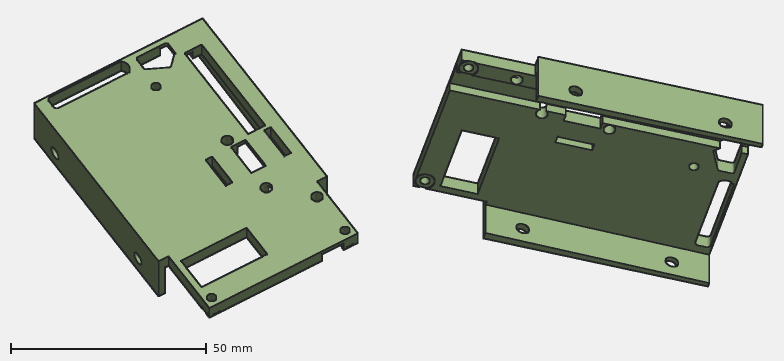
import cadquery as cq

LENGTH = 79.5
WIDTH = 51.0
HEIGHT = 15.0
PLATE = 4.1
BODY_LENGTH = 59.9
TAB_WIDTH = 45.0

WALL_THIN = 1.3
WALL_THICK = 2.0
SIDE_HOLE_DIAMETER = 3.4
SIDE_HOLE_XS = (10.0, 49.9)
SIDE_HOLE_Z = 4.9

CHANNEL_Y_MIN = 11.7
CHANNEL_Y_MAX = 18.2
CHANNEL_ROOF = 1.35

CONNECTOR_X_MIN = 38.8
CONNECTOR_X_MAX = 48.6
WINDOWS = (
    (7.0, 37.6, 15.7, 20.8),
    (CONNECTOR_X_MIN, CONNECTOR_X_MAX, 19.7, 21.7),
    (CONNECTOR_X_MIN, CONNECTOR_X_MAX, 9.7, 14.1),
    (CONNECTOR_X_MIN, CONNECTOR_X_MAX, 2.0, 4.0),
    (62.8, 72.75, -20.6, -0.7),
)

SMALL_HOLE_DIAMETER = 2.5
LARGE_HOLE_DIAMETER = 3.0
CORNER_X = 76.95
CORNER_Y = 20.2
CORNER_HOLES = ((CORNER_X, CORNER_Y), (CORNER_X, -CORNER_Y))
SMALL_HOLES = ((12.2, 3.7),) + CORNER_HOLES
LARGE_HOLES = ((36.5, 10.0), (54.6, 10.4), (64.0, 19.9))

RECESS_DIAMETER = 4.9
RECESS_DEPTH = 0.3

POCKET_X_MIN = 1.7
POCKET_X_SHOULDER = 5.9
POCKET_X_TIP = 8.9
POCKET_Y_MIN = 4.2
POCKET_Y_MAX = 13.7
POCKET_Y_STEP = 13.2
POCKET_Y_TIP = 10.25
POCKET_CORNER = 0.6
POCKET_TIP_RADIUS = 0.4

SLOT_X_MIN = 0.55
SLOT_X_MAX = 4.6
SLOT_Y_MIN = -21.95
SLOT_Y_MAX = 1.4
SLOT_BOW = 0.95
SLOT_CORNER = 0.95


def block(x_min, x_max, y_min, y_max, z_min, z_max):
    size = (x_max - x_min, y_max - y_min, z_max - z_min)
    return cq.Workplane("XY").box(*size, centered=False).translate((x_min, y_min, z_min))


def plate_holes(points, diameter):
    return cq.Workplane("XY").pushPoints(points).circle(diameter / 2).extrude(HEIGHT)


def side_wall():
    """Wall along +Y with a tapering inner face."""
    outer = WIDTH / 2
    outline = [(0, outer), (BODY_LENGTH, outer), (BODY_LENGTH, outer - WALL_THICK), (0, outer - WALL_THIN)]
    return cq.Workplane("XY").polyline(outline).close().extrude(HEIGHT)


def pocket():
    outline = [
        (POCKET_X_MIN, POCKET_Y_MIN),
        (POCKET_X_MIN, POCKET_Y_MAX),
        (POCKET_X_SHOULDER, POCKET_Y_MAX),
        (POCKET_X_SHOULDER, POCKET_Y_STEP),
        (POCKET_X_TIP, POCKET_Y_TIP),
        (POCKET_X_SHOULDER, POCKET_Y_MIN),
    ]
    body = cq.Workplane("XY").polyline(outline).close().extrude(HEIGHT)
    body = body.edges("|Z and >X").fillet(POCKET_TIP_RADIUS)
    body = body.edges("|Z and <X").fillet(POCKET_CORNER)
    return body.edges(cq.selectors.NearestToPointSelector((POCKET_X_SHOULDER, POCKET_Y_MIN, HEIGHT / 2))).fillet(
        POCKET_CORNER
    )


def bowed_slot():
    shoulder = SLOT_Y_MAX - SLOT_BOW
    crown = ((SLOT_X_MIN + SLOT_X_MAX) / 2, SLOT_Y_MAX)
    body = (
        cq.Workplane("XY")
        .moveTo(SLOT_X_MIN, SLOT_Y_MIN)
        .lineTo(SLOT_X_MAX, SLOT_Y_MIN)
        .lineTo(SLOT_X_MAX, shoulder)
        .threePointArc(crown, (SLOT_X_MIN, shoulder))
        .close()
        .extrude(HEIGHT)
    )
    return body.edges("|Z and <Y").fillet(SLOT_CORNER)


plate_bottom = HEIGHT - PLATE
wall = side_wall()
result = block(0, BODY_LENGTH, -WIDTH / 2, WIDTH / 2, plate_bottom, HEIGHT)
result = result.union(block(0, LENGTH, -TAB_WIDTH / 2, TAB_WIDTH / 2, plate_bottom, HEIGHT))
result = result.union(wall).union(wall.mirror("XZ"))

result = result.cut(block(0, LENGTH, CHANNEL_Y_MIN, CHANNEL_Y_MAX, 0, HEIGHT - CHANNEL_ROOF))

for x_min, x_max, y_min, y_max in WINDOWS:
    result = result.cut(block(x_min, x_max, y_min, y_max, 0, HEIGHT))
result = result.cut(pocket()).cut(bowed_slot())
result = result.cut(plate_holes(SMALL_HOLES, SMALL_HOLE_DIAMETER))
result = result.cut(plate_holes(LARGE_HOLES, LARGE_HOLE_DIAMETER))

recesses = (
    cq.Workplane("XY", origin=(0, 0, plate_bottom))
    .pushPoints(CORNER_HOLES)
    .circle(RECESS_DIAMETER / 2)
    .extrude(RECESS_DEPTH)
)
result = result.cut(recesses)

side_holes = (
    cq.Workplane("XZ")
    .pushPoints([(x, SIDE_HOLE_Z) for x in SIDE_HOLE_XS])
    .circle(SIDE_HOLE_DIAMETER / 2)
    .extrude(WIDTH / 2, both=True)
)
result = result.cut(side_holes)